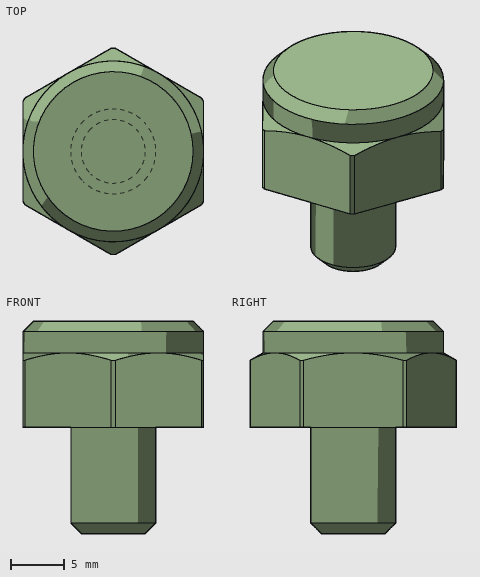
import cadquery as cq
import math

shank_radius = 4.0
shank_length = 10.0

across_flats = 17.0
across_rounded_corners = 19.4
hex_height = 7.0
corner_bevel_angle = 30.0

cap_radius = across_flats / 2
cap_height = 3.0

chamfer = 1.0

hex_top = shank_length + hex_height


def make_shank():
    shank = cq.Workplane("XY").circle(shank_radius).extrude(shank_length)
    return shank.faces("<Z").chamfer(chamfer)


def make_hexagon():
    across_sharp_corners = across_flats / math.cos(math.radians(30))
    prism = (
        cq.Workplane("XY", origin=(0, 0, shank_length))
        .transformed(rotate=(0, 0, 90))
        .polygon(6, across_sharp_corners)
        .extrude(hex_height)
    )
    corner_radius = across_rounded_corners / 2
    bevel_drop = (corner_radius - cap_radius) * math.tan(math.radians(corner_bevel_angle))
    envelope = (
        cq.Workplane("XZ")
        .moveTo(0, shank_length)
        .lineTo(corner_radius, shank_length)
        .lineTo(corner_radius, hex_top - bevel_drop)
        .lineTo(cap_radius, hex_top)
        .lineTo(0, hex_top)
        .close()
        .revolve(360, (0, 0, 0), (0, 1, 0))
    )
    return prism.intersect(envelope)


def make_cap():
    cap = cq.Workplane("XY", origin=(0, 0, hex_top)).circle(cap_radius).extrude(cap_height)
    return cap.faces(">Z").chamfer(chamfer)


result = make_shank().union(make_hexagon()).union(make_cap())